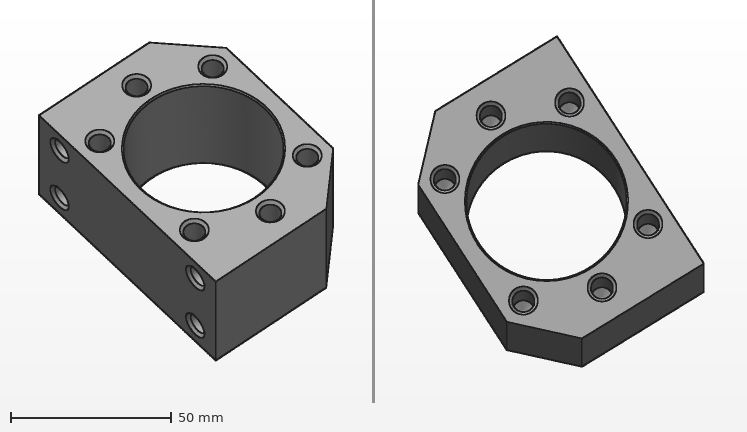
import cadquery as cq
import math

width = 86.0
depth = 62.0
height = 40.0
corner_cut = 17.0

bore_diameter = 50.0
bore_chamfer = 0.5

hole_diameter = 6.9
mouth_diameter = 9.0
hole_depth = 15.0
drill_tip_angle = 118.0

bolt_circle_diameter = 65.0
bolt_angles = (0, 45, 135, 180, 225, 315)
front_spacing_x = 66.0
front_spacing_z = 24.0


def make_block():
    """Block centred on the bore axis with both rear corners cut at 45 degrees."""
    return (
        cq.Workplane("XY")
        .box(width, depth, height)
        .edges("|Z and >Y")
        .chamfer(corner_cut)
    )


def make_bore():
    """Through bore with a small chamfer at each end."""
    radius = bore_diameter / 2
    rim_radius = radius + bore_chamfer
    half_height = height / 2
    return (
        cq.Workplane("XZ")
        .moveTo(0, -half_height)
        .lineTo(rim_radius, -half_height)
        .lineTo(radius, bore_chamfer - half_height)
        .lineTo(radius, half_height - bore_chamfer)
        .lineTo(rim_radius, half_height)
        .lineTo(0, half_height)
        .close()
        .revolve(360, (0, 0), (0, 1))
    )


def make_hole():
    """Drilled hole along -Z with its mouth centred on the origin."""
    radius = hole_diameter / 2
    mouth_radius = mouth_diameter / 2
    mouth_depth = mouth_radius - radius
    tip_length = radius / math.tan(math.radians(drill_tip_angle / 2))
    return (
        cq.Workplane("XZ")
        .lineTo(mouth_radius, 0)
        .lineTo(radius, -mouth_depth)
        .lineTo(radius, -hole_depth)
        .lineTo(0, -hole_depth - tip_length)
        .close()
        .revolve(360, (0, 0), (0, 1))
    )


result = make_block().cut(make_bore())

top_hole = make_hole()
bolt_radius = bolt_circle_diameter / 2
for angle in bolt_angles:
    x = bolt_radius * math.cos(math.radians(angle))
    y = bolt_radius * math.sin(math.radians(angle))
    result = result.cut(top_hole.translate((x, y, height / 2)))

front_hole = make_hole().rotate((0, 0, 0), (1, 0, 0), 90)
for x in (-front_spacing_x / 2, front_spacing_x / 2):
    for z in (-front_spacing_z / 2, front_spacing_z / 2):
        result = result.cut(front_hole.translate((x, -depth / 2, z)))